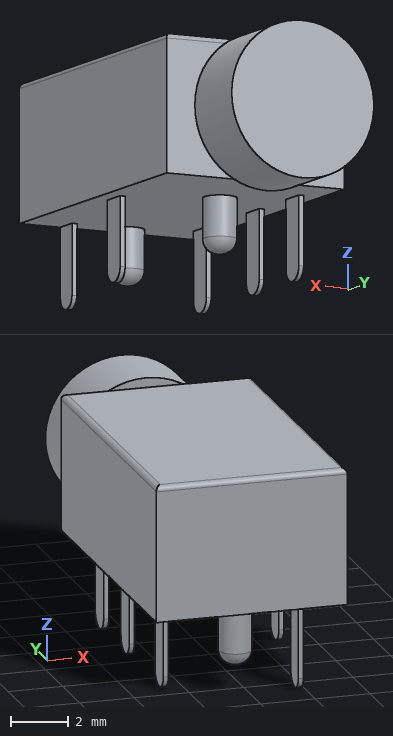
import cadquery as cq

body_width = 7
body_length = 11.2
body_height = 5.0
top_edge_radius = 0.2

overall_length = 14
barrel_diameter = 5.6
barrel_length = overall_length - body_length
barrel_x = -0.4

peg_diameter = 1.2
peg_length = 1.99
peg_tip_radius = 0.53
peg_y_positions = [0.69, 7.7]

pin_length = 3.0
pin_thickness = 0.2
pin_width = 1.0
end_pin_width = 0.9
left_pin_x = -2.69
end_pin_x = 1.8
right_pin_x = 2.79
left_pin_y_positions = [1.97, 5.98, 8.99]
end_pin_y = 0.49
right_pin_y = left_pin_y_positions[1]


def make_body():
    body = cq.Workplane("XY").box(body_width, body_length, body_height, centered=(True, False, False))
    return body.faces(">Z").edges().fillet(top_edge_radius)


def make_barrel():
    return (
        cq.Workplane("XZ", origin=(barrel_x, body_length, body_height / 2))
        .circle(barrel_diameter / 2)
        .extrude(-barrel_length)
    )


def make_peg(y):
    peg = cq.Workplane("XY", origin=(barrel_x, y, 0)).circle(peg_diameter / 2).extrude(-peg_length)
    return peg.faces("<Z").edges().fillet(peg_tip_radius)


def make_pin(x, y, width):
    half_width = width / 2
    straight_length = pin_length - half_width
    return (
        cq.Workplane("YZ", origin=(x - pin_thickness / 2, y, 0))
        .moveTo(-half_width, 0)
        .lineTo(-half_width, -straight_length)
        .threePointArc((0, -pin_length), (half_width, -straight_length))
        .lineTo(half_width, 0)
        .close()
        .extrude(pin_thickness)
    )


result = make_body().union(make_barrel())

for peg_y in peg_y_positions:
    result = result.union(make_peg(peg_y))

for pin_y in left_pin_y_positions:
    result = result.union(make_pin(left_pin_x, pin_y, pin_width))

result = result.union(make_pin(end_pin_x, end_pin_y, end_pin_width))
result = result.union(make_pin(right_pin_x, right_pin_y, pin_width))